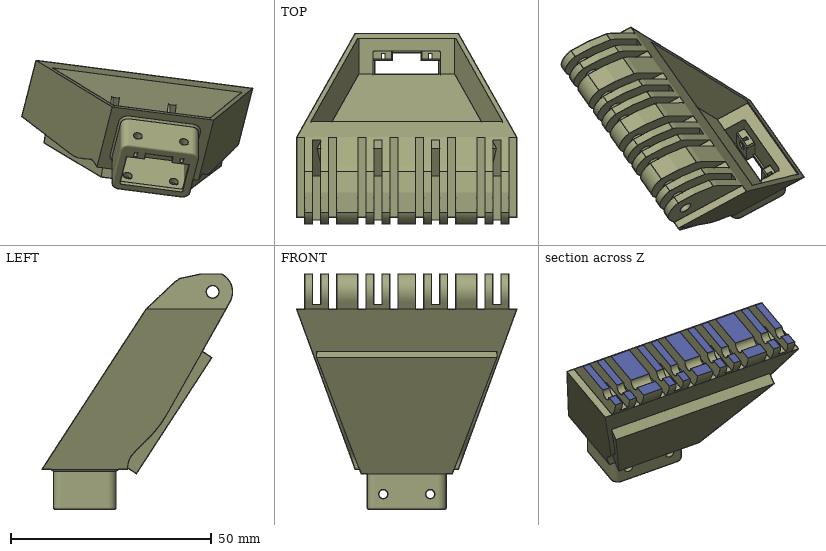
import cadquery as cq
import math

body_height = 40.0
top_width = 55.0
base_width = 25.75
back_base_y = 10.7
lean_angle = 33.0
front_angle = 29.4
front_top_y = -35.28
front_base_y = -10.68
curve_top_z = 13.8
curve_mid = (-15.6, 7.45)
curve_low = (-12.1, 3.95)

lean = math.tan(math.radians(lean_angle))
front_lean = math.tan(math.radians(front_angle))
side_taper = (top_width - base_width) / 2 / body_height
back_top_y = back_base_y - body_height * lean
curve_top_y = front_top_y + (body_height - curve_top_z) * front_lean
inward = (-math.cos(math.radians(lean_angle)), -math.sin(math.radians(lean_angle)))

side_wall = 1.35
pocket_depth = 7.9
pocket_floor_z = 1.2
pocket_sill_z = 2.0
pocket_top_z = 34.0

plate_thickness = 2.65
plate_root = 1.2
plate_length = 34.6
plate_top_width = 45.0
plate_bottom_width = 22.8
plate_bottom = (-10.68, 0.37)

plug_width = 19.75
plug_depth = 15.7
plug_height = 10.0
plug_corner = 1.95
plug_edge = 0.5
plug_flare = 0.5
bore_width = 16.9
bore_depth = 12.6
bore_corner = 0.5
lip_overhang = 0.5
lip_height = 1.0
screw_x = 5.85
screw_z = -6.15
screw_diameter = 2.2
boss_inner_x = 3.5
boss_depth = 2.4
boss_above_screw = 2.5
boss_chamfer = 0.35
slit_width = 0.8
slit_front = 0.4
slit_rear = 0.7

hinge_y = -31.92
hinge_z = 44.33
hinge_radius = 5.0
hinge_top_z = 48.85
hinge_hole = 3.1
ramp_low = (-22.45, 46.8)
ramp_high = (-23.75, 47.7)
crown_y = -29.15
knuckle_gap = 2.0
center_width = 4.4
pair_width = 6.0
wide_width = 5.3
slot_width = 2.0
slot_web_z = 41.2
slot_back_y = -15.95
slot_step_y = -24.95


def extrude_profile(profile, width):
    """Extrude a YZ outline symmetrically along X."""
    return profile.close().extrude(width / 2, both=True)


def side_limits(wall):
    """Slab whose sides follow the body sides, set inward by wall."""
    low = -plug_height
    high = hinge_top_z
    half_low = base_width / 2 + low * side_taper - wall
    half_high = base_width / 2 + high * side_taper - wall
    outline = [(-half_low, low), (half_low, low), (half_high, high), (-half_high, high)]
    return cq.Workplane("XZ").polyline(outline).close().extrude(top_width, both=True)


def back_y(z):
    return back_base_y - z * lean


def make_body():
    profile = (
        cq.Workplane("YZ")
        .moveTo(front_base_y, 0)
        .lineTo(back_base_y, 0)
        .lineTo(back_top_y, body_height)
        .lineTo(front_top_y, body_height)
        .lineTo(curve_top_y, curve_top_z)
        .spline(
            [curve_mid, curve_low, (front_base_y, 0)],
            tangents=[(front_lean, -1), (0, -1)],
            includeCurrent=True,
        )
    )
    return extrude_profile(profile, top_width).intersect(side_limits(0))


def make_plate():
    frame = cq.Plane(
        origin=(0, *plate_bottom),
        xDir=(1, 0, 0),
        normal=(0, *inward),
    )
    outline = [
        (-plate_bottom_width / 2, 0),
        (plate_bottom_width / 2, 0),
        (plate_top_width / 2, plate_length),
        (-plate_top_width / 2, plate_length),
    ]
    return (
        cq.Workplane(frame)
        .workplane(offset=-plate_root)
        .polyline(outline)
        .close()
        .extrude(plate_root + plate_thickness)
    )


def pocket_corner(z):
    """Point at full pocket depth below the back face at height z."""
    return (back_y(z) + pocket_depth * inward[0], z + pocket_depth * inward[1])


def make_pocket():
    """Cavity square to the back face, with a level floor and a short upright sill."""
    ceiling = pocket_corner(pocket_top_z)
    floor_y = back_y(pocket_floor_z) - pocket_depth / math.cos(math.radians(lean_angle))
    sill_y = back_y(pocket_sill_z)
    clear = 2.0
    profile = (
        cq.Workplane("YZ")
        .moveTo(sill_y, pocket_floor_z)
        .lineTo(floor_y, pocket_floor_z)
        .lineTo(*ceiling)
        .lineTo(back_y(pocket_top_z) - clear * inward[0], pocket_top_z - clear * inward[1])
        .lineTo(sill_y - clear * inward[0], pocket_sill_z - clear * inward[1])
        .lineTo(sill_y, pocket_sill_z)
    )
    return extrude_profile(profile, top_width).intersect(side_limits(side_wall))


def make_plug():
    plug = (
        cq.Workplane("XY")
        .rect(plug_width, plug_depth)
        .extrude(-plug_height)
        .edges("|Z")
        .fillet(plug_corner)
        .faces("<Z")
        .edges()
        .fillet(plug_edge)
    )
    flare = (
        cq.Workplane("XY")
        .workplane(offset=plug_flare)
        .rect(plug_width + 2 * plug_flare, plug_depth + 2 * plug_flare)
        .extrude(-2 * plug_flare)
        .edges("|Z")
        .fillet(plug_corner + plug_flare)
        .faces("<Z")
        .edges()
        .chamfer(plug_flare)
    )
    return plug.union(flare)


def bore_prism(inset, low, high):
    """Upright rounded opening, inset from the bore walls, between two heights."""
    return (
        cq.Workplane("XY")
        .workplane(offset=low)
        .rect(bore_width - 2 * inset, bore_depth - 2 * inset)
        .extrude(high - low)
        .edges("|Z")
        .fillet(bore_corner)
    )


def make_bore():
    mouth = bore_prism(lip_overhang, -plug_height, pocket_floor_z)
    return mouth.union(bore_prism(0, lip_height - plug_height, pocket_floor_z))


def make_screw_boss():
    """Slitted block in the +X rear corner of the bore, slightly sunk into its walls."""
    sink = 0.5
    front_y = bore_depth / 2 - boss_depth
    height = plug_height + screw_z + boss_above_screw
    width = bore_width / 2 - boss_inner_x + sink
    boss = (
        cq.Workplane("XY", origin=(boss_inner_x, front_y, -plug_height))
        .box(width, boss_depth + sink, height, centered=False)
        .edges("(>Z and <X) or (>Z and <Y)")
        .chamfer(boss_chamfer)
    )
    slit_depth = boss_depth - slit_front - slit_rear
    slit = (
        cq.Workplane("XY", origin=(screw_x, front_y + slit_front, -plug_height))
        .box(slit_width, slit_depth, height, centered=(True, False, False))
    )
    return boss.cut(slit)


def make_screw_holes():
    return (
        cq.Workplane("XZ", origin=(0, 0, screw_z))
        .pushPoints([(-screw_x, 0), (screw_x, 0)])
        .circle(screw_diameter / 2)
        .extrude(plug_depth, both=True)
    )


def knuckle_spans():
    """(center X, width) of every knuckle, with pairs still unsplit."""
    spans = [(0, center_width)]
    edge = center_width / 2
    for width in (pair_width, wide_width, pair_width):
        center = edge + knuckle_gap + width / 2
        spans += [(-center, width), (center, width)]
        edge = center + width / 2
    return spans


def make_knuckle(x, width):
    angle = math.radians(front_angle)
    tangent_y = hinge_y - hinge_radius * math.cos(angle)
    tangent_z = hinge_z - hinge_radius * math.sin(angle)
    crown_rise = hinge_top_z - hinge_z
    crown_end_y = hinge_y - math.sqrt(hinge_radius**2 - crown_rise**2)
    bury = 1.0
    profile = (
        cq.Workplane("YZ")
        .moveTo(back_y(body_height - bury), body_height - bury)
        .lineTo(back_top_y, body_height)
        .lineTo(*ramp_low)
        .lineTo(*ramp_high)
        .lineTo(crown_y, hinge_top_z)
        .lineTo(crown_end_y, hinge_top_z)
        .threePointArc((hinge_y - hinge_radius, hinge_z), (tangent_y, tangent_z))
        .lineTo(front_top_y + bury * front_lean, body_height - bury)
    )
    return extrude_profile(profile, width).translate((x, 0, 0))


def make_pair_slot(x):
    """Gap that splits a knuckle pair and drops through the body top into the pocket.

    Its lowest floor carries on along the pocket ceiling, and the side walls keep their thickness.
    """
    ceiling_y, ceiling_z = pocket_corner(pocket_top_z)
    floor_end_z = ceiling_z - (ceiling_y - slot_step_y) * lean
    front_y = hinge_y - 2 * hinge_radius
    profile = (
        cq.Workplane("YZ")
        .moveTo(slot_back_y, ceiling_z)
        .lineTo(ceiling_y, ceiling_z)
        .lineTo(slot_step_y, floor_end_z)
        .lineTo(slot_step_y, slot_web_z)
        .lineTo(front_y, slot_web_z)
        .lineTo(front_y, hinge_top_z)
        .lineTo(slot_back_y, hinge_top_z)
    )
    slot = extrude_profile(profile, slot_width).translate((x, 0, 0))
    return slot.intersect(side_limits(side_wall))


def make_hinge_hole():
    return (
        cq.Workplane("YZ")
        .center(hinge_y, hinge_z)
        .circle(hinge_hole / 2)
        .extrude(top_width / 2, both=True)
    )


result = make_body().union(make_plate()).union(make_plug())
for knuckle_x, knuckle_width in knuckle_spans():
    result = result.union(make_knuckle(knuckle_x, knuckle_width))

result = result.cut(make_pocket()).cut(make_bore())
screw_boss = make_screw_boss()
result = result.union(screw_boss).union(screw_boss.mirror("YZ"))
result = result.cut(make_screw_holes()).cut(make_hinge_hole())

for knuckle_x, knuckle_width in knuckle_spans():
    if knuckle_width == pair_width:
        result = result.cut(make_pair_slot(knuckle_x))